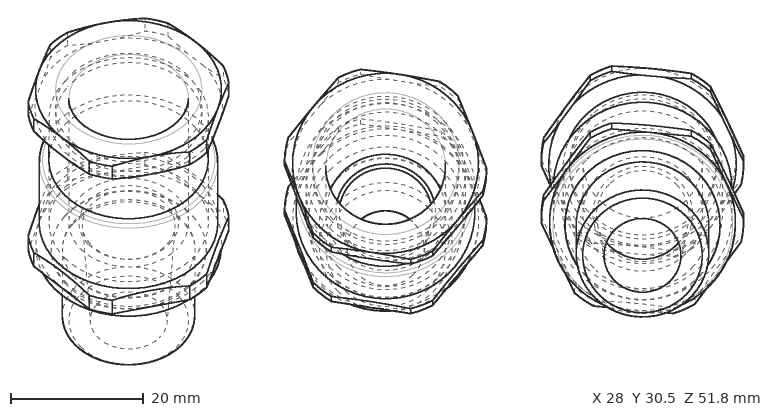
import cadquery as cq
import math

FLATS_RADIUS = 28.0 / 2
CORNER_RADIUS = 30.5 / 2
HEX_SIDES = 6
HALF_SIDE_ANGLE = 180 / HEX_SIDES
CHAMFER_SLOPE = math.tan(math.radians(26))

FLANGE_BOTTOM = 16.05
HOUSING_HEX_BOTTOM = 18.0
HOUSING_HEX_TOP = 21.95
HOUSING_TOP = 36.0

THREAD_RADIUS = 10.0
THREAD_CHAMFER = 1.0
BARREL_RADIUS = 13.45
EDGE_FILLET = 0.45

BORE_BOTTOM_RADIUS = 5.8
BORE_TOP_RADIUS = 7.0
SEAT_RADIUS = 7.5
SEAT_HEIGHT = HOUSING_HEX_TOP
SEAT_DEPTH = SEAT_RADIUS - BORE_TOP_RADIUS

TOTAL_HEIGHT = 51.75
NUT_HEX_BOTTOM = 47.75
SLEEVE_TOP = 45.7
SLEEVE_RADIUS = 12.0
NUT_UNDERSIDE_RADIUS = 14.15
NECK_RADIUS = 11.0
NUT_BORE_RADIUS = 9.0
MOUTH_FILLET = 2.0

RING_SECTION_RADIUS = 1.7 / 2
RING_CENTRE_RADIUS = THREAD_RADIUS + RING_SECTION_RADIUS
RING_CENTRE_HEIGHT = 15.9


def cylinder(radius, bottom, top):
    return cq.Workplane("XY").workplane(offset=bottom).circle(radius).extrude(top - bottom)


def turned(points):
    """Revolve a (radius, height) outline about the Z axis."""
    return cq.Workplane("XZ").polyline(points).close().revolve(360, (0, 0, 0), (0, 1, 0))


def hexagon(bottom, top, top_face_radius, bottom_face_radius=CORNER_RADIUS):
    """Hexagon with flats facing +X and -X and conical chamfers on its corners.

    Each end face is bounded by a circle; a circle as large as the corners means no chamfer.
    """
    corner_distance = FLATS_RADIUS / math.cos(math.radians(HALF_SIDE_ANGLE))
    prism = (
        cq.Workplane("XY").workplane(offset=bottom)
        .polygon(HEX_SIDES, 2 * corner_distance)
        .extrude(top - bottom)
        .rotate((0, 0, 0), (0, 0, 1), HALF_SIDE_ANGLE)
    )
    top_drop = (CORNER_RADIUS - top_face_radius) * CHAMFER_SLOPE
    bottom_rise = (CORNER_RADIUS - bottom_face_radius) * CHAMFER_SLOPE
    outline = [(0, bottom), (bottom_face_radius, bottom)]
    if bottom_rise > 0:
        outline.append((CORNER_RADIUS, bottom + bottom_rise))
    outline += [(CORNER_RADIUS, top - top_drop), (top_face_radius, top), (0, top)]
    return prism.intersect(turned(outline))


def make_o_ring():
    return (
        cq.Workplane("XZ")
        .center(RING_CENTRE_RADIUS, RING_CENTRE_HEIGHT)
        .circle(RING_SECTION_RADIUS)
        .revolve(360, (-RING_CENTRE_RADIUS, 0, 0), (-RING_CENTRE_RADIUS, 1, 0))
    )


def make_housing(o_ring):
    thread = cylinder(THREAD_RADIUS, 0, FLANGE_BOTTOM).faces("<Z").chamfer(THREAD_CHAMFER)
    flange = cylinder(FLATS_RADIUS, FLANGE_BOTTOM, HOUSING_HEX_BOTTOM)
    flange = flange.faces("<Z").edges().fillet(EDGE_FILLET)
    hex_collar = hexagon(HOUSING_HEX_BOTTOM, HOUSING_HEX_TOP, BARREL_RADIUS)
    barrel = cylinder(BARREL_RADIUS, HOUSING_HEX_TOP, HOUSING_TOP)
    barrel = barrel.faces(">Z").edges().fillet(EDGE_FILLET)

    passage = turned([
        (0, 0),
        (BORE_BOTTOM_RADIUS, 0),
        (BORE_TOP_RADIUS, SEAT_HEIGHT - SEAT_DEPTH),
        (SEAT_RADIUS, SEAT_HEIGHT),
        (SLEEVE_RADIUS, SEAT_HEIGHT),
        (SLEEVE_RADIUS, HOUSING_TOP),
        (0, HOUSING_TOP),
    ])
    outside = thread.union(flange).union(hex_collar).union(barrel)
    return outside.cut(passage).cut(o_ring)


def make_cap_nut():
    sleeve = cylinder(SLEEVE_RADIUS, SEAT_HEIGHT, SLEEVE_TOP)
    neck = cylinder(NECK_RADIUS, SLEEVE_TOP, NUT_HEX_BOTTOM)
    head = hexagon(NUT_HEX_BOTTOM, TOTAL_HEIGHT, FLATS_RADIUS, NUT_UNDERSIDE_RADIUS)
    bore = cylinder(NUT_BORE_RADIUS, SEAT_HEIGHT, TOTAL_HEIGHT)
    nut = sleeve.union(neck).union(head).cut(bore)
    mouth_edge = cq.selectors.RadiusNthSelector(0)
    return nut.faces(">Z").edges(mouth_edge).fillet(MOUTH_FILLET)


o_ring = make_o_ring()
housing = make_housing(o_ring)
cap_nut = make_cap_nut()

result = cq.Compound.makeCompound([housing.val(), cap_nut.val(), o_ring.val()])